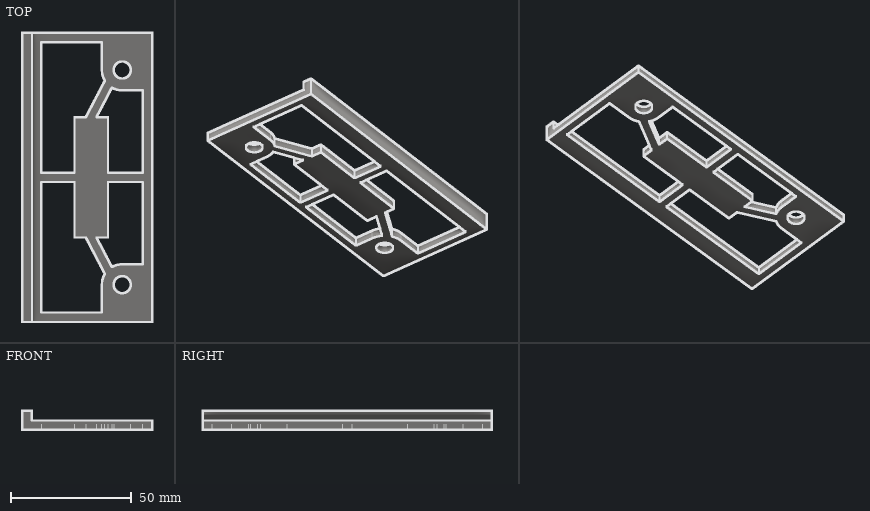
import cadquery as cq
import math

length_x = 54.0
length_y = 120.0
lip_height = 8.0
plate_thickness = 4.0

lip_width = 4.0
border = 4.0
window_left = lip_width + border
window_right = length_x - border
crossbar_width = 4.0

block_width = 14.0
block_length = 50.0
block_center_x = 28.65

pad_left = 33.0
pad_depth = 24.0
pad_radius = 8.5
hole_diameter = 7.0
hole_x = pad_left + pad_radius
hole_y = length_y / 2 - pad_depth + pad_radius

strut_width = 4.0
strut_angle = 62.5
strut_overlap = 2.0
strut_reach = 19.0


def box(x_min, x_max, y_min, y_max, height):
    """Box standing on the Z = 0 plane."""
    return cq.Workplane("XY").box(
        x_max - x_min, y_max - y_min, height, centered=False
    ).translate((x_min, y_min, 0))


def make_frame():
    """Rectangular border with a raised lip along its left edge."""
    half_y = length_y / 2
    plate = box(0, length_x, -half_y, half_y, plate_thickness)
    window = box(window_left, window_right, border - half_y, half_y - border, plate_thickness)
    lip = box(0, lip_width, -half_y, half_y, lip_height)
    return plate.cut(window).union(lip)


def make_center():
    """Central block and the crossbar that carries it."""
    block_left = block_center_x - block_width / 2
    block = box(block_left, block_left + block_width, -block_length / 2, block_length / 2, plate_thickness)
    crossbar = box(lip_width, length_x, -crossbar_width / 2, crossbar_width / 2, plate_thickness)
    return block.union(crossbar)


def make_pad():
    """Pad filling the +X +Y corner of the frame."""
    pad = box(pad_left, length_x, length_y / 2 - pad_depth, length_y / 2, plate_thickness)
    return pad.edges("|Z and <X and <Y").fillet(pad_radius)


def make_strut():
    """Strut from the middle of the block's +Y end to the pad."""
    strut_length = strut_overlap + strut_reach
    along = strut_length / 2 - strut_overlap
    angle = math.radians(strut_angle)
    center_x = block_center_x + along * math.cos(angle)
    center_y = block_length / 2 + along * math.sin(angle)
    return (
        cq.Workplane("XY")
        .box(strut_length, strut_width, plate_thickness, centered=(True, True, False))
        .rotate((0, 0, 0), (0, 0, 1), strut_angle)
        .translate((center_x, center_y, 0))
    )


def make_holes():
    """Through holes in both pads."""
    return (
        cq.Workplane("XY")
        .pushPoints([(hole_x, hole_y), (hole_x, -hole_y)])
        .circle(hole_diameter / 2)
        .extrude(plate_thickness)
    )


corner = make_pad().union(make_strut())
result = make_frame().union(make_center()).union(corner).union(corner.mirror("XZ")).cut(make_holes())